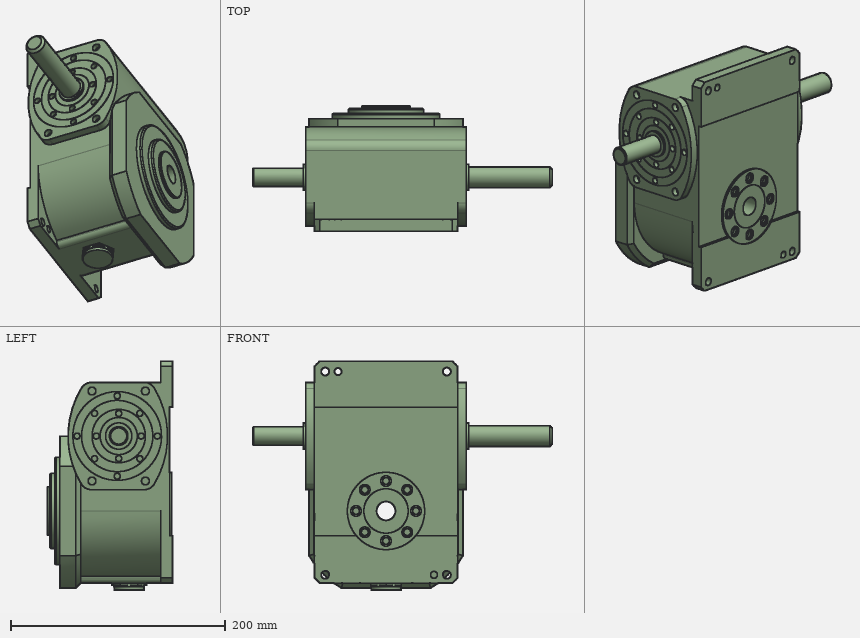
import cadquery as cq
import math

centre_distance = 70.0

half_width = 67.0
front_y = -50.5
plate_back_y = -39.2
plate_top = 140.0
plate_bottom = -67.5
plate_corner = 5.0
recess_depth = 2.8
recess_top = 97.0
recess_bottom = -23.0
bolt_x = 56.8
bolt_top_inset = 9.8
bolt_bottom_inset = 7.8
bolt_radius = 3.5
dowel_x = 44.8
dowel_radius = 3.22

cover_half_height = 50.0
housing_top = centre_distance + cover_half_height
foot_half_width = 27.5
foot_fillet = 5.0

cover_thickness = 8.0
cover_y = 0.8
cover_half_depth = 46.5
cover_arc_radius = 86.8
cover_corner_radius = 11.2
cover_bolt_y = 25.0
cover_bolt_z = 42.0
cover_bolt_radius = 3.5
cover_hole_depth = 5.5
cap_y = 1.5
ring_step = 0.3
small_hole_radius = 2.8
outer_hole_circle = 37.5
middle_hole_circle = 30.0
inner_hole_circle = 21.0

collar_radius = 12.3
collar_length = 2.2
left_end_x = -124.5
left_radius = 8.7
left_chamfer = 1.0
right_end_x = 155.5
right_radius = 9.8
right_chamfer = 2.5

back_plate_front_y = 35.5
back_plate_y = 55.0
back_plate_half = 72.0
back_plate_radius = 83.2
back_plate_chamfer = 4.5
flange_steps = [(50.5, 60.0, 1.5), (35.3, 64.5, 1.5), (22.7, 66.5, 0.5)]
bore_radius = 8.7

disc_y = -49.5
disc_radius = 36.0
disc_hub_radius = 20.7
screw_circle = 28.0
screw_count = 8
screw_head_radius = 4.9
screw_head_depth = 1.7
screw_hole_radius = 3.22
screw_hole_depth = 4.5

plug_y = -9.8
plug_bottom = -74.0
plug_hex_corners = 32.8
plug_hex_height = 1.7
plug_radius = 14.3
plug_collar_height = 3.5
plug_tip_radius = 14.0


def y_cylinder(radius, y_from, y_to, x=0.0, z=0.0):
    """Cylinder along Y."""
    base = cq.Vector(x, y_from, z)
    return cq.Workplane(cq.Solid.makeCylinder(radius, y_to - y_from, base, cq.Vector(0, 1, 0)))


def x_cylinder(radius, x_from, x_to, y=0.0, z=centre_distance):
    """Cylinder along X, by default on the input axis."""
    base = cq.Vector(x_from, y, z)
    return cq.Workplane(cq.Solid.makeCylinder(radius, x_to - x_from, base, cq.Vector(1, 0, 0)))


def block(x_half, y_from, y_to, z_from, z_to):
    """Box centred on X = 0."""
    return cq.Workplane("XY").box(2 * x_half, y_to - y_from, z_to - z_from).translate(
        (0, (y_from + y_to) / 2, (z_from + z_to) / 2)
    )


def cover_blank(x_from, x_to):
    """Flat top and bottom, bulging front and back, rounded corners."""
    sagitta = cover_arc_radius - math.sqrt(cover_arc_radius**2 - cover_half_height**2)
    corner = cover_half_depth - sagitta
    return (
        cq.Workplane("YZ", origin=(x_from, cover_y, centre_distance))
        .moveTo(-corner, -cover_half_height)
        .lineTo(corner, -cover_half_height)
        .threePointArc((cover_half_depth, 0), (corner, cover_half_height))
        .lineTo(-corner, cover_half_height)
        .threePointArc((-cover_half_depth, 0), (-corner, -cover_half_height))
        .close()
        .extrude(x_to - x_from)
        .edges("|X")
        .fillet(cover_corner_radius)
    )


def right_cover():
    """Side cover on the +X side with its stepped bearing caps and bolt holes."""
    face_x = half_width + cover_thickness
    cover = cover_blank(half_width, face_x)

    rings = [(41.5, cap_y, -1), (33.3, cap_y, -2), (25.0, 0.0, -1), (17.5, 0.0, 0)]
    for radius, y, level in rings:
        cover = cover.cut(x_cylinder(radius, face_x - 2 * ring_step, face_x, y))
        cover = cover.union(x_cylinder(radius, half_width, face_x + level * ring_step, y))

    def drill(points, y, radius):
        """The cover with blind holes at the given points around (y, input axis)."""
        holes = (
            cq.Workplane("YZ", origin=(face_x - cover_hole_depth, y, centre_distance))
            .pushPoints(points)
            .circle(radius)
            .extrude(cover_hole_depth)
        )
        return cover.cut(holes)

    def on_circle(radius, start):
        """Four equally spaced points, the first at the start angle in degrees."""
        angles = [math.radians(start + 90 * i) for i in range(4)]
        return [(radius * math.cos(a), radius * math.sin(a)) for a in angles]

    bolt_points = [(y, z) for y in (-cover_bolt_y, cover_bolt_y) for z in (-cover_bolt_z, cover_bolt_z)]
    cover = drill(bolt_points, 0.0, cover_bolt_radius)
    cover = drill(on_circle(outer_hole_circle, 0), cap_y, small_hole_radius)
    cover = drill(on_circle(middle_hole_circle, 45), cap_y, small_hole_radius)
    return drill(on_circle(inner_hole_circle, 0), 0.0, small_hole_radius)


def mounting_plate():
    plate = block(half_width, front_y, plate_back_y, plate_bottom, plate_top)
    plate = plate.edges("|Y").chamfer(plate_corner)
    return plate.cut(block(half_width, front_y, front_y + recess_depth, recess_bottom, recess_top))


def plate_holes():
    """Four corner bolt holes and two diagonally opposed dowel holes."""
    top_z = plate_top - bolt_top_inset
    bottom_z = plate_bottom + bolt_bottom_inset
    holes = cq.Workplane()
    for x, z, radius in [
        (-bolt_x, top_z, bolt_radius),
        (bolt_x, top_z, bolt_radius),
        (-bolt_x, bottom_z, bolt_radius),
        (bolt_x, bottom_z, bolt_radius),
        (-dowel_x, top_z, dowel_radius),
        (dowel_x, bottom_z, dowel_radius),
    ]:
        holes = holes.add(y_cylinder(radius, front_y, plate_back_y, x, z))
    return holes.combine()


def housing():
    """Body between the covers: square above the output axis, round below it."""
    body = cover_blank(-half_width, half_width)
    body = body.union(block(half_width, front_y + recess_depth, 0, 0, housing_top))
    body = body.union(block(half_width, plate_back_y, back_plate_front_y, 0, centre_distance))
    body = body.union(y_cylinder(half_width, plate_back_y, back_plate_front_y))
    foot = block(foot_half_width, plate_back_y, back_plate_front_y, plate_bottom, 0)
    return body.union(foot.edges("|Y and <Z").fillet(foot_fillet))


def back_plate():
    """Square plate with its corners turned round and its front rim chamfered."""
    plate = block(back_plate_half, back_plate_front_y, back_plate_y, -back_plate_half, centre_distance)
    plate = plate.intersect(y_cylinder(back_plate_radius, back_plate_front_y, back_plate_y))
    plate = plate.faces("<Y").edges().chamfer(back_plate_chamfer)
    for radius, face_y, rim in flange_steps:
        step = y_cylinder(radius, back_plate_front_y, face_y)
        plate = plate.union(step.faces(">Y").edges().chamfer(rim))
    return plate


def shaft():
    collar_end = half_width + cover_thickness + collar_length
    left = x_cylinder(left_radius, left_end_x, 0).faces("<X").chamfer(left_chamfer)
    right = x_cylinder(right_radius, 0, right_end_x).faces(">X").chamfer(right_chamfer)
    return left.union(right).union(x_cylinder(collar_radius, -collar_end, collar_end))


def add_front_disc(body):
    """Flange disc slightly below the pads, with a recessed hub and counterbored screw holes."""
    body = body.cut(y_cylinder(disc_radius, front_y, disc_y))
    body = body.union(y_cylinder(disc_radius, disc_y, plate_back_y))
    body = body.cut(y_cylinder(disc_hub_radius, disc_y, disc_y + ring_step))
    for i in range(screw_count):
        angle = 2 * math.pi * i / screw_count
        x = screw_circle * math.cos(angle)
        z = screw_circle * math.sin(angle)
        body = body.cut(y_cylinder(screw_head_radius, disc_y, disc_y + screw_head_depth, x, z))
        body = body.cut(y_cylinder(screw_hole_radius, disc_y, disc_y + screw_hole_depth, x, z))
    return body


def drain_plug():
    top = cq.Workplane("XY", origin=(0, plug_y, plate_bottom))
    head = top.transformed(rotate=(0, 0, 90)).polygon(6, plug_hex_corners).extrude(-plug_hex_height)
    collar = top.circle(plug_radius).extrude(-plug_collar_height)
    tip = top.circle(plug_tip_radius).extrude(plug_bottom - plate_bottom)
    return head.union(collar).union(tip)


cover = right_cover()
result = housing().union(mounting_plate()).union(back_plate())
result = result.union(cover).union(cover.mirror("YZ"))
result = result.union(shaft()).union(drain_plug())
result = add_front_disc(result)
result = result.cut(plate_holes())
result = result.cut(y_cylinder(bore_radius, front_y, flange_steps[-1][1]))